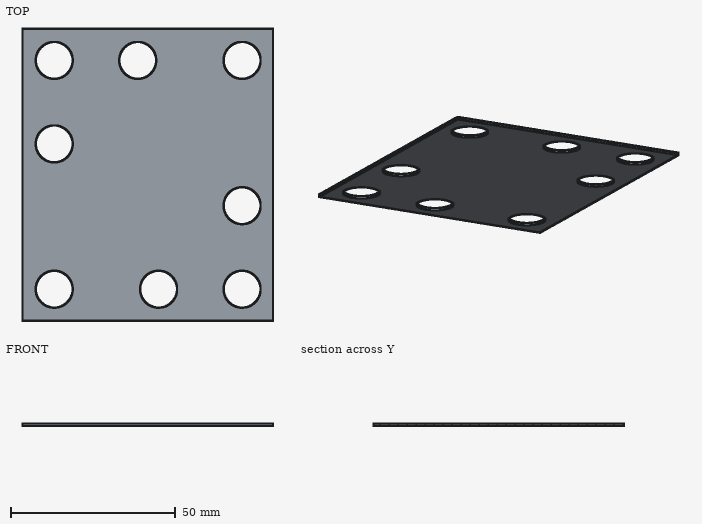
import cadquery as cq

plate_width = 76.2
plate_length = 88.9
plate_thickness = 0.8128
hole_diameter = 11.18
edge_margin = 9.652
right_margin = 9.398
hole_pitch = 25.4

left_x = edge_margin - plate_width / 2
right_x = plate_width / 2 - right_margin
front_y = edge_margin - plate_length / 2
back_y = plate_length / 2 - edge_margin


def hole_centres():
    """Four corner holes, plus two neighbours at each of two opposite corners."""
    corners = [(x, y) for x in (left_x, right_x) for y in (front_y, back_y)]
    left_back_neighbours = [
        (left_x + hole_pitch, back_y),
        (left_x, back_y - hole_pitch),
    ]
    right_front_neighbours = [
        (right_x - hole_pitch, front_y),
        (right_x, front_y + hole_pitch),
    ]
    return corners + left_back_neighbours + right_front_neighbours


def make_plate():
    """Flat rectangular plate centred on the Z axis, with its underside at Z = 0."""
    return cq.Workplane("XY").box(
        plate_width, plate_length, plate_thickness, centered=(True, True, False)
    )


def cut_holes(plate):
    """Drill every round hole through the plate."""
    return plate.faces(">Z").workplane().pushPoints(hole_centres()).hole(hole_diameter)


result = cut_holes(make_plate())